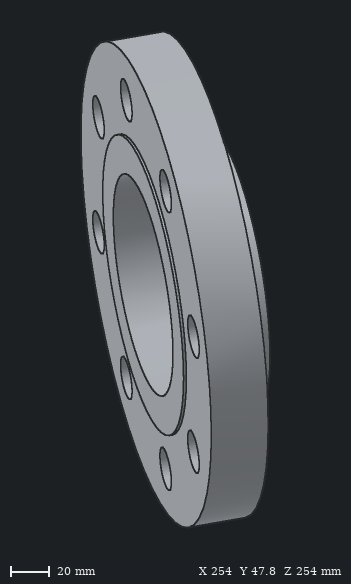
import cadquery as cq

flange_diameter = 254.0
overall_length = 47.8
raised_face_diameter = 157.2
raised_face_height = 1.5
hub_diameter = 146.0
hub_height = 15.7
bore_diameter = 116.0

bolt_circle_diameter = 200.0
bolt_hole_diameter = 22.4
bolt_hole_count = 8

flange_thickness = overall_length - raised_face_height - hub_height
bolt_start_angle = 180 / bolt_hole_count


def disc(diameter, start_y, length):
    """Solid cylinder on the Y axis, growing toward +Y from start_y."""
    plane = cq.Plane(origin=(0, start_y, 0), xDir=(1, 0, 0), normal=(0, 1, 0))
    return cq.Workplane(plane).circle(diameter / 2).extrude(length)


def bolt_holes():
    """Ring of cylinders running the full length of the part."""
    plane = cq.Plane(origin=(0, 0, 0), xDir=(1, 0, 0), normal=(0, 1, 0))
    return (
        cq.Workplane(plane)
        .polarArray(bolt_circle_diameter / 2, bolt_start_angle, 360, bolt_hole_count)
        .circle(bolt_hole_diameter / 2)
        .extrude(overall_length)
    )


raised_face = disc(raised_face_diameter, 0, raised_face_height)
flange = disc(flange_diameter, raised_face_height, flange_thickness)
hub = disc(hub_diameter, raised_face_height + flange_thickness, hub_height)
bore = disc(bore_diameter, 0, overall_length)

result = raised_face.union(flange).union(hub).cut(bore).cut(bolt_holes())